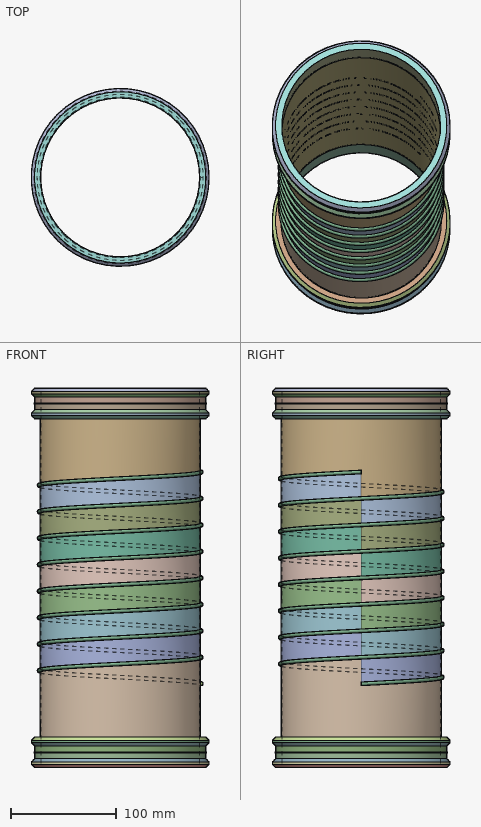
import cadquery as cq

total_length = 358.8
collar_length = 29.0
tube_length = total_length - 2 * collar_length

tube_outer_diameter = 151.8
bore_diameter = 150.0
tube_radius = tube_outer_diameter / 2
bore_radius = bore_diameter / 2
bead_root_radius = (tube_radius + bore_radius) / 2
bead_radius = 1.8
bead_lift = 0.7
bead_path_radius = tube_radius + bead_lift
bead_turns = 8
bead_height = 200.2
bead_pitch = bead_height / bead_turns

collar_radius = 161.8 / 2
flange_radius = 168.3 / 2
flange_bevel = flange_radius - collar_radius
flange_rim_width = 2.0
flange_width = flange_rim_width + 2 * flange_bevel
rib_projection = 0.7
rib_width = 1.0


def ring(outer_radius, length):
    """Plain ring around Z, starting at Z = 0, with the common bore."""
    return cq.Workplane("XY").circle(outer_radius).circle(bore_radius).extrude(length)


def make_spiral_bead():
    """Right-handed round bead, centred just outside the wall of the tube."""
    path = cq.Wire.makeHelix(bead_pitch, bead_height, bead_path_radius)
    bead = (
        cq.Workplane("XZ")
        .center(bead_path_radius, 0)
        .circle(bead_radius)
        .sweep(cq.Workplane(obj=path), isFrenet=True)
    )
    return bead.translate((0, 0, -bead_height / 2))


def make_tube():
    """Thin tube with the spiral bead; the bead roots halfway into the wall, clear of the bore."""
    wall = ring(tube_radius, tube_length)
    core = cq.Workplane("XY").circle(bead_root_radius).extrude(tube_length)
    to_centre = (0, 0, -tube_length / 2)
    bead = make_spiral_bead().cut(core.translate(to_centre))
    return wall.translate(to_centre).union(bead)


def make_flange(base_height):
    """Ring with both outer edges bevelled down to the collar surface."""
    flange = ring(flange_radius, flange_width).edges(cq.selectors.RadiusNthSelector(-1))
    return flange.chamfer(flange_bevel).translate((0, 0, base_height))


def make_collar(base_height):
    """End collar with a flange at each end and a rib at mid-length."""
    rib = ring(collar_radius + rib_projection, rib_width)
    collar = (
        ring(collar_radius, collar_length)
        .union(make_flange(0))
        .union(make_flange(collar_length - flange_width))
        .union(rib.translate((0, 0, (collar_length - rib_width) / 2)))
    )
    return collar.translate((0, 0, base_height))


tube = make_tube()
collar_bases = [-total_length / 2, total_length / 2 - collar_length]
collars = [make_collar(base) for base in collar_bases]

result = cq.Compound.makeCompound([tube.solids().val(), *[collar.solids().val() for collar in collars]])